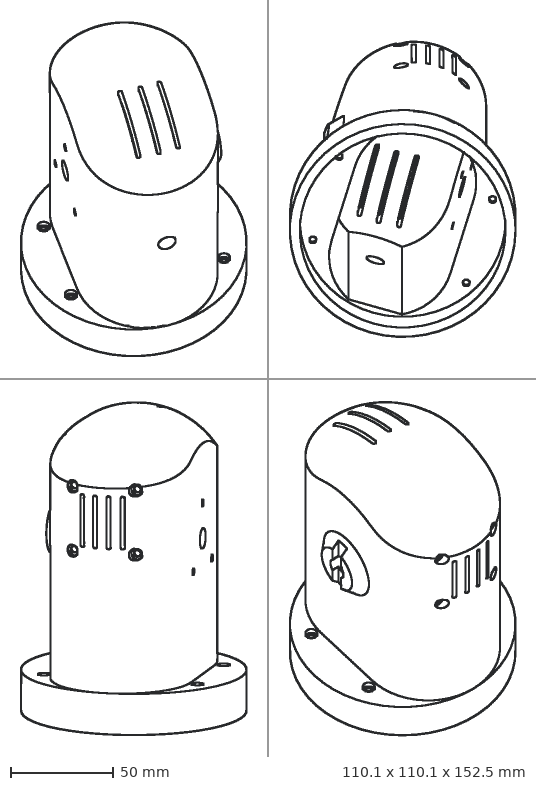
import cadquery as cq
import math

total_height = 152.5
base_diameter = 110.1
base_height = 20.6
body_depth = 70.1
wall = 4.9

dome_radius = 66.0
dome_edge_drop = 16.6
dome_center_z = total_height - dome_radius

inner_end_x = 47.0
dome_thickness = 9.1

screw_diameter = 3.4
screw_head_diameter = 6.0
screw_head_depth = 2.7
base_screw_spacing_x = 45.0
base_screw_spacing_y = 78.0
side_screw_spacing = 32.0
side_screw_center_z = 105.8
side_screw_seat_x = 48.0

slot_width = 2.0
side_slot_pitch = 6.9
side_slot_count = 4
side_slot_bottom = 92.5
side_slot_top = 119.0
dome_slot_length = 32.2
dome_slot_center_x = 24.9
dome_slot_middle_shift = 1.0
dome_slot_pitch = 10.0

axle_diameter = 10.0
axle_z = 88.3
boss_height = 6.0
boss_outer_diameter = 23.8
boss_foot_diameter = 35.4
boss_slot_width = 6.7
boss_slot_depth = 3.7
front_hole_diameter = 3.4
front_top_hole_z = 106.0
front_low_hole_z = 75.0
front_low_hole_x = 16.0

end_opening_diameter = 8.8
end_opening_z = 84.2

body_half_depth = body_depth / 2
body_half_length = base_diameter / 2
inner_half_depth = body_half_depth - wall


def stadium_prism(length, depth, bottom, height):
    return cq.Workplane("XY").workplane(offset=bottom).slot2D(length, depth).extrude(height)


def dome(crown_radius, half_depth, edge_drop):
    """Barrel about the Y axis of the dome, whose side bulges as an arc between the two flat ends."""
    edge_radius = crown_radius - edge_drop
    return (
        cq.Workplane("XY")
        .moveTo(0, -half_depth)
        .lineTo(edge_radius, -half_depth)
        .threePointArc((crown_radius, 0), (edge_radius, half_depth))
        .lineTo(0, half_depth)
        .close()
        .revolve(360, (0, 0, 0), (0, 1, 0))
        .translate((0, 0, dome_center_z))
    )


def domed_prism(length, depth, bottom, crown_radius, edge_drop):
    """Stadium prism cut off at the top by the dome."""
    straight = stadium_prism(length, depth, bottom, dome_center_z - bottom)
    capped = stadium_prism(length, depth, dome_center_z, total_height - dome_center_z)
    return straight.union(capped.intersect(dome(crown_radius, depth / 2, edge_drop)))


def cavity():
    inner_length = base_diameter - 2 * wall
    inner_depth = 2 * inner_half_depth
    inner_drop = dome_edge_drop * (inner_half_depth / body_half_depth) ** 2
    inside = domed_prism(inner_length, inner_depth, 0, dome_radius - dome_thickness, inner_drop)
    flat_ends = cq.Workplane("XY").box(2 * inner_end_x, body_depth, 2 * total_height)
    return inside.intersect(flat_ends)


def base_recess():
    return cq.Workplane("XY").circle(base_diameter / 2 - wall).extrude(base_height - wall)


def boss():
    flare = (boss_foot_diameter - boss_outer_diameter) / 2
    return (
        cq.Workplane("XZ", origin=(0, body_half_depth + boss_height, axle_z))
        .circle(boss_outer_diameter / 2)
        .extrude(boss_height, taper=-math.degrees(math.atan2(flare, boss_height)))
    )


def boss_slot():
    """Groove across the boss face, parallel to Z."""
    return (
        cq.Workplane("XY")
        .box(boss_slot_width, 2 * boss_slot_depth, boss_foot_diameter)
        .translate((0, body_half_depth + boss_height, axle_z))
    )


def axle_hole():
    return (
        cq.Workplane("XZ", origin=(0, 0, axle_z))
        .circle(axle_diameter / 2)
        .extrude(body_depth, both=True)
    )


def front_holes():
    points = [
        (0, front_top_hole_z),
        (-front_low_hole_x, front_low_hole_z),
        (front_low_hole_x, front_low_hole_z),
    ]
    return (
        cq.Workplane("XZ", origin=(0, -inner_half_depth, 0))
        .pushPoints(points)
        .circle(front_hole_diameter / 2)
        .extrude(wall)
    )


def base_screws():
    plate = cq.Workplane("XY", origin=(0, 0, base_height)).rarray(
        base_screw_spacing_x, base_screw_spacing_y, 2, 2
    )
    holes = plate.circle(screw_diameter / 2).extrude(-base_height)
    heads = plate.circle(screw_head_diameter / 2).extrude(-screw_head_depth)
    return holes.union(heads)


def side_screw_bores(diameter, start_x):
    """Four bores that run outward from start_x through the -X end."""
    return (
        cq.Workplane("YZ", origin=(start_x, 0, side_screw_center_z))
        .rarray(side_screw_spacing, side_screw_spacing, 2, 2)
        .circle(diameter / 2)
        .extrude(-(body_half_length + start_x))
    )


def side_screws():
    holes = side_screw_bores(screw_diameter, -inner_end_x)
    heads = side_screw_bores(screw_head_diameter, -side_screw_seat_x)
    return holes.union(heads)


def side_slots():
    length = side_slot_top - side_slot_bottom
    middle_z = (side_slot_top + side_slot_bottom) / 2
    return (
        cq.Workplane("YZ", origin=(-body_half_length, 0, middle_z))
        .rarray(side_slot_pitch, 1.5, side_slot_count, 1)
        .slot2D(length, slot_width, 90)
        .extrude(body_half_length)
    )


def dome_slots():
    slots = cq.Workplane("XY")
    for row in (-1, 0, 1):
        x = dome_slot_center_x + (dome_slot_middle_shift if row == 0 else 0)
        slots = slots.union(
            cq.Workplane("XY", origin=(x, row * dome_slot_pitch, dome_center_z))
            .slot2D(dome_slot_length, slot_width)
            .extrude(dome_radius)
        )
    return slots


def end_opening():
    return (
        cq.Workplane("YZ", origin=(0, 0, end_opening_z))
        .circle(end_opening_diameter / 2)
        .extrude(body_half_length)
    )


base = cq.Workplane("XY").circle(base_diameter / 2).extrude(base_height)
shell = base.union(domed_prism(base_diameter, body_depth, base_height, dome_radius, dome_edge_drop)).union(boss())
result = (
    shell.cut(cavity())
    .cut(base_recess())
    .cut(axle_hole())
    .cut(boss_slot())
    .cut(front_holes())
    .cut(base_screws())
    .cut(side_screws())
    .cut(side_slots())
    .cut(dome_slots())
    .cut(end_opening())
)